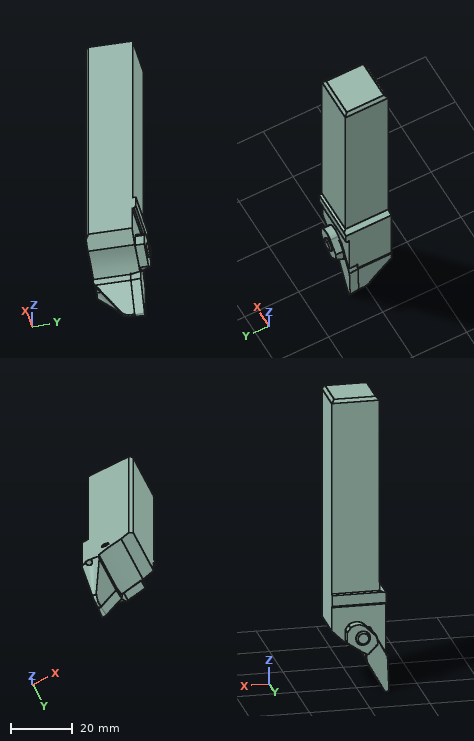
import cadquery as cq
import math


TOTAL_LENGTH = 101.6
SHANK_SIDE = 15.875
SHANK_OVERLAP = 1.0
SHANK_END_CHAMFER = 1.05
SHANK_CORNER_CHAMFER = 1.15

HEAD_TOP = 35.05
HEAD_LEFT = -2.16
HEAD_BACK = SHANK_SIDE + 1.0
SHOULDER_SLOPE = math.tan(math.radians(15))
PAD_BOTTOM = 31.1
CLAMP_FLOOR = 15.6
RELIEF_START = 22.15
RELIEF_CORNER_X = 12.0
RELIEF_CORNER = (RELIEF_CORNER_X, RELIEF_START - (SHANK_SIDE - RELIEF_CORNER_X))
RELIEF_MIDDLE = (8.3, 16.45)
RELIEF_END = (3.85, 12.9)
NECK_RIGHT = (3.4, 10.7)
NECK_LEFT_Z = 11.5

INSERT_TOP = SHANK_SIDE
INSERT_THICKNESS = 3.35
INSERT_CLEARANCE = 6.0
INSERT_SIDE = 15.2
INSERT_TIP_ANGLE = 26.9
INSERT_LEAD_ANGLE = 2.5
INSERT_NOSE_RADIUS = 0.9
INSERT_LEFT_EXTREME = -3.175
SEAT = INSERT_TOP - INSERT_THICKNESS
POCKET_NOTCH_LOW = 12.5
POCKET_NOTCH_HIGH = 14.5
POCKET_NOTCH_DEPTH = 1.2

NOSE_FRONT_Z = 9.7
NOSE_ARC_START_Y = 6.9
NOSE_ARC_START = (NOSE_ARC_START_Y, NOSE_FRONT_Z - NOSE_ARC_START_Y)
NOSE_ARC_MIDDLE = (8.8, 1.35)
NOSE_ARC_END = (10.5, 0.7)

FLUTE_HIGH = cq.Vector(1.5, 0, 12.5)
FLUTE_LOW = cq.Vector(-2.4, 8.5, 1.9)
FLUTE_HIGH_RADIUS = 5.0
FLUTE_LOW_RADIUS = 1.5
FLUTE_EXTENSION = 1.5

SCREW_X = 6.1
SCREW_Z = 20.1
SCREW_HOLE_RADIUS = 1.25
SCREW_HEAD_RADIUS = 2.35
CLAMP_TOP = 18.65
SCREW_TOP = 19.39
SCREW_CHAMFER = 0.55
CLAMP_LEFT = 0.95
CLAMP_RIGHT = 11.3
CLAMP_BOTTOM = 14.35
CLAMP_CORNER = (1.4, SCREW_Z)
CLAMP_ARC_START = (5.2, 23.9)
CLAMP_ARC_MIDDLE = (7.7, 24.75)
CLAMP_ARC_END = (10.2, 23.9)
CLAMP_RIGHT_TOP = 22.3
CLAMP_RIGHT_BOTTOM = 18.6
CLAMP_HEEL_X = 5.0
TOE_CUT_LOW = 1.65
TOE_CUT_HIGH = 3.4

COOLANT_X = 0.05
COOLANT_Z = 11.7
COOLANT_RADIUS = 1.05

CUT_MARGIN = 2.0


def on_xz(y):
    """Workplane parallel to XZ at the given Y; it extrudes toward +Y with negative distances."""
    return cq.Workplane("XZ", origin=(0, y, 0))


def insert_outline(y, inset):
    """Rhombus shrunk by `inset` per side, with a rounded nose at its lower and upper tips."""
    radius = INSERT_NOSE_RADIUS - inset
    half_tip = math.radians(INSERT_TIP_ANGLE / 2)
    lean = math.radians(INSERT_LEAD_ANGLE) + half_tip
    half_length = INSERT_SIDE * math.cos(half_tip) - inset / math.sin(half_tip)
    half_width = INSERT_SIDE * math.sin(half_tip) - inset / math.cos(half_tip)
    nose_reach = half_length - radius / math.sin(half_tip)
    full_reach = INSERT_SIDE * math.cos(half_tip) - INSERT_NOSE_RADIUS / math.sin(half_tip)
    center_x = INSERT_LEFT_EXTREME + INSERT_NOSE_RADIUS + full_reach * math.sin(lean)
    center_z = INSERT_NOSE_RADIUS + full_reach * math.cos(lean)

    def place(across, along):
        x = center_x + along * math.sin(lean) + across * math.cos(lean)
        z = center_z + along * math.cos(lean) - across * math.sin(lean)
        return x, z

    tangent_across = radius * math.cos(half_tip)
    tangent_along = nose_reach + radius * math.sin(half_tip)
    tip_along = nose_reach + radius
    return (
        on_xz(y)
        .moveTo(*place(-tangent_across, -tangent_along))
        .threePointArc(place(0, -tip_along), place(tangent_across, -tangent_along))
        .lineTo(*place(half_width, 0))
        .lineTo(*place(tangent_across, tangent_along))
        .threePointArc(place(0, tip_along), place(-tangent_across, tangent_along))
        .lineTo(*place(-half_width, 0))
        .close()
    )


def make_insert():
    """Tapered insert: the clearance angle narrows it from the top face down to the seat."""
    return insert_outline(INSERT_TOP, 0).extrude(INSERT_THICKNESS, taper=INSERT_CLEARANCE)


def make_shank():
    shank = cq.Workplane("XY", origin=(0, 0, HEAD_TOP - SHANK_OVERLAP)).box(
        SHANK_SIDE, SHANK_SIDE, TOTAL_LENGTH - HEAD_TOP + SHANK_OVERLAP, centered=False
    )
    return shank.faces(">Z").chamfer(SHANK_END_CHAMFER)


def make_head():
    """Front outline and side profile, each extruded through the head and intersected."""
    front = (
        on_xz(0)
        .moveTo(HEAD_LEFT, NECK_LEFT_Z)
        .lineTo(HEAD_LEFT, HEAD_TOP + HEAD_LEFT * SHOULDER_SLOPE)
        .lineTo(0, HEAD_TOP)
        .lineTo(SHANK_SIDE, HEAD_TOP)
        .lineTo(SHANK_SIDE, RELIEF_START)
        .lineTo(*RELIEF_CORNER)
        .threePointArc(RELIEF_MIDDLE, RELIEF_END)
        .lineTo(*NECK_RIGHT)
        .close()
        .extrude(-HEAD_BACK)
    )
    pad_step = HEAD_BACK - CLAMP_FLOOR
    side = (
        cq.Workplane("YZ", origin=(HEAD_LEFT, 0, 0))
        .polyline(
            [
                (0, 0),
                (CLAMP_FLOOR, 0),
                (CLAMP_FLOOR, PAD_BOTTOM - pad_step / 2),
                (HEAD_BACK - pad_step / 2, PAD_BOTTOM - pad_step / 2),
                (HEAD_BACK, PAD_BOTTOM),
                (HEAD_BACK, HEAD_TOP - (HEAD_BACK - SHANK_SIDE) * SHOULDER_SLOPE),
                (SHANK_SIDE, HEAD_TOP),
                (0, HEAD_TOP),
            ]
        )
        .close()
        .extrude(SHANK_SIDE - HEAD_LEFT)
    )
    return front.intersect(side)


def make_nose():
    """Straight-sided support with the outline of the insert's lower face."""
    inset = INSERT_THICKNESS * math.tan(math.radians(INSERT_CLEARANCE))
    return insert_outline(SEAT, inset).extrude(SEAT)


def nose_underside_cut():
    """Everything below and in front of the 45-degree nose underside."""
    return (
        cq.Workplane("YZ", origin=(HEAD_LEFT - CUT_MARGIN, 0, 0))
        .moveTo(0, NOSE_FRONT_Z)
        .lineTo(*NOSE_ARC_START)
        .threePointArc(NOSE_ARC_MIDDLE, NOSE_ARC_END)
        .lineTo(SEAT, NOSE_ARC_END[1])
        .lineTo(SEAT, -CUT_MARGIN)
        .lineTo(0, -CUT_MARGIN)
        .close()
        .extrude(SHANK_SIDE)
    )


def flute_cutter():
    """Cone along the nose underside, lengthened by FLUTE_EXTENSION to run out past the front face."""
    outward = cq.Vector(0, -1, -1).normalized()
    low = FLUTE_LOW + outward * FLUTE_LOW_RADIUS
    high = FLUTE_HIGH + outward * FLUTE_HIGH_RADIUS
    end_radius = FLUTE_LOW_RADIUS + (FLUTE_HIGH_RADIUS - FLUTE_LOW_RADIUS) * FLUTE_EXTENSION
    axis = (high - low) * FLUTE_EXTENSION
    return cq.Workplane(cq.Solid.makeCone(FLUTE_LOW_RADIUS, end_radius, axis.Length, low, axis))


def pocket_notch():
    """Clearance beside the insert where its back edge enters the left side of the head."""
    notch_size = (POCKET_NOTCH_DEPTH, HEAD_BACK - SEAT, POCKET_NOTCH_HIGH - POCKET_NOTCH_LOW)
    return cq.Workplane("XY", origin=(HEAD_LEFT, SEAT, POCKET_NOTCH_LOW)).box(*notch_size, centered=False)


def make_clamp():
    """Faceted clamp with a sloping cut at the lower left corner of its toe."""
    height = CLAMP_TOP - CLAMP_FLOOR
    body = (
        on_xz(CLAMP_FLOOR)
        .moveTo(CLAMP_LEFT, CLAMP_BOTTOM)
        .lineTo(*CLAMP_CORNER)
        .lineTo(*CLAMP_ARC_START)
        .threePointArc(CLAMP_ARC_MIDDLE, CLAMP_ARC_END)
        .lineTo(CLAMP_RIGHT, CLAMP_RIGHT_TOP)
        .lineTo(CLAMP_RIGHT, CLAMP_RIGHT_BOTTOM)
        .lineTo(CLAMP_HEEL_X, CLAMP_BOTTOM)
        .close()
        .extrude(-height)
    )

    def toe_triangle(plane, leg):
        return plane.polyline(
            [
                (CLAMP_LEFT, CLAMP_BOTTOM),
                (CLAMP_LEFT + leg, CLAMP_BOTTOM),
                (CLAMP_LEFT, CLAMP_BOTTOM + leg),
            ]
        ).close()

    low = toe_triangle(on_xz(CLAMP_FLOOR), TOE_CUT_LOW)
    toe = toe_triangle(low.workplane(offset=-height), TOE_CUT_HIGH).loft(ruled=True)
    return body.cut(toe)


def make_screw_head():
    """Chamfered clamp screw head, part of the holder body."""
    return (
        on_xz(CLAMP_TOP)
        .center(SCREW_X, SCREW_Z)
        .circle(SCREW_HEAD_RADIUS)
        .extrude(CLAMP_TOP - SCREW_TOP)
        .faces(">Y")
        .chamfer(SCREW_CHAMFER)
    )


def drill(x, z, radius, depth):
    return on_xz(0).center(x, z).circle(radius).extrude(-depth)


def corner_chamfer():
    """Long chamfer on the front right corner of the shank and head."""
    return (
        cq.Workplane("XY")
        .moveTo(SHANK_SIDE, 0)
        .lineTo(SHANK_SIDE - SHANK_CORNER_CHAMFER, 0)
        .lineTo(SHANK_SIDE, SHANK_CORNER_CHAMFER)
        .close()
        .extrude(TOTAL_LENGTH)
    )


def make_holder(insert):
    holder = make_head().union(make_nose()).cut(nose_underside_cut()).cut(flute_cutter())
    holder = holder.union(make_shank()).cut(corner_chamfer())
    holder = holder.cut(drill(SCREW_X, SCREW_Z, SCREW_HOLE_RADIUS, CLAMP_FLOOR))
    holder = holder.cut(drill(COOLANT_X, COOLANT_Z, COOLANT_RADIUS, SEAT))
    holder = holder.cut(pocket_notch())
    holder = holder.union(make_clamp()).union(make_screw_head())
    return holder.cut(insert)


insert = make_insert()
holder = make_holder(insert)
result = cq.Compound.makeCompound([holder.val(), insert.val()])